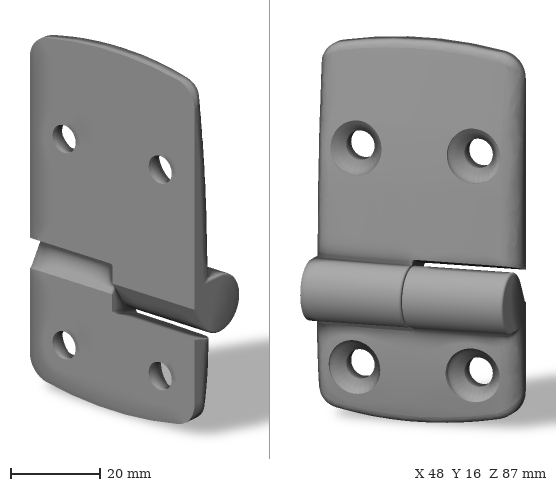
import cadquery as cq
import math


width = 48.0
half_width = width / 2
end_arc_radius = 100.0
corner_radius = 6.0

crown_radius = 200.1
side_round = 3.9
end_round = 2.0

axis_y = 9.0
knuckle_radius = 7.0
lip_z = 1.3
knuckle_edge_round = 0.5
knuckle_gap = 0.2
inner_x = knuckle_gap / 2
total_depth = axis_y + knuckle_radius

notch_edge_z = 6.0
notch_slope = 15.5
notch_corner_round = 0.6
root_round = 0.7

hole_diameter = 6.7
hole_spacing = 28.0
countersink_diameter = 12.5
countersink_start_y = 3.3
countersink_angle = 90.0

upper_end = 57.5
upper_hole_z = 32.5
upper_thickness = 8.0
upper_crest_z = 8.1
upper_back_radius = 334.95

lower_end = 29.5
lower_hole_z = 17.4
lower_thickness = 8.4
lower_crest_z = 7.8
lower_back_radius = 91.35

overrun = 4.35
slack = 0.1


def edges_within(low_corner, high_corner):
    """Selector for edges whose centre lies in a box."""
    return cq.selectors.BoxSelector(low_corner, high_corner)


def domed_strip(end, thickness, crest_z, back_radius):
    """Straight-sided strip, longer than the plate, with a domed back and rounded back edges.

    The back is level up to the crest, then falls away along an arc; revolving this
    profile about a far axis parallel to Z crowns it across the width.
    """
    strip_end = end + overrun
    arc_middle_z = (crest_z + strip_end) / 2

    def back_y(z):
        return thickness - back_radius + math.sqrt(back_radius**2 - (z - crest_z) ** 2)

    crown_axis_y = thickness - crown_radius
    half_crown_angle = math.degrees(math.asin((half_width + overrun) / crown_radius))
    dome = (
        cq.Workplane("YZ")
        .moveTo(-overrun, lip_z)
        .lineTo(thickness, lip_z)
        .lineTo(thickness, crest_z)
        .threePointArc((back_y(arc_middle_z), arc_middle_z), (back_y(strip_end), strip_end))
        .lineTo(-overrun, strip_end)
        .close()
        .revolve(2 * half_crown_angle, (crown_axis_y, 0), (crown_axis_y, 1))
        .rotate((0, crown_axis_y, 0), (0, crown_axis_y, 1), -half_crown_angle)
    )
    strip = dome.intersect(cq.Workplane("XY").box(width, 4 * total_depth, 4 * end))
    back_edges = edges_within((-width, 0, lip_z + slack), (width, total_depth, strip_end - slack))
    return strip.faces("<X or >X").edges(back_edges).fillet(side_round)


def outline_prism(end):
    """Outline of the plate, with a bowed end and rounded corners, through the full depth."""
    corner_z = end - end_arc_radius + math.sqrt(end_arc_radius**2 - half_width**2)
    end_corners = edges_within((-width, 0, lip_z + slack), (width, total_depth, end))
    return (
        cq.Workplane("XZ")
        .moveTo(-half_width, lip_z)
        .lineTo(half_width, lip_z)
        .lineTo(half_width, corner_z)
        .threePointArc((0, end), (-half_width, corner_z))
        .close()
        .extrude(-total_depth)
        .edges("|Y")
        .edges(end_corners)
        .fillet(corner_radius)
    )


def plate(end, thickness, crest_z, back_radius):
    """Plate with its back edge rounded along the end and around the corners."""
    body = domed_strip(end, thickness, crest_z, back_radius).intersect(outline_prism(end))
    end_back_edge = edges_within((-overrun, slack, end - end_round), (overrun, total_depth, end + slack))
    return body.edges(end_back_edge).fillet(end_round)


def knuckle():
    """Half-width barrel on a block, with a flat running tangentially from barrel to front lip."""
    lip_distance = math.hypot(axis_y, lip_z)
    tangent_angle = math.atan2(lip_z, -axis_y) + math.acos(knuckle_radius / lip_distance)
    tangent_y = axis_y + knuckle_radius * math.cos(tangent_angle)
    tangent_z = knuckle_radius * math.sin(tangent_angle)
    body = (
        cq.Workplane("YZ", origin=(inner_x, 0, 0))
        .moveTo(0, lip_z)
        .lineTo(tangent_y, tangent_z)
        .threePointArc((total_depth, 0), (axis_y, knuckle_radius))
        .lineTo(0, knuckle_radius)
        .close()
        .extrude(half_width - inner_x)
    )
    barrel_edges = edges_within((0, slack, -knuckle_radius), (width, total_depth, lip_z))
    return body.faces("<X or >X").edges(barrel_edges).fillet(knuckle_edge_round)


def notch():
    """Clearance beside the knuckle, with a sloping face toward the plate."""
    rise = total_depth * math.tan(math.radians(notch_slope))
    return (
        cq.Workplane("YZ", origin=(inner_x, 0, 0))
        .lineTo(total_depth, 0)
        .lineTo(total_depth, notch_edge_z + rise)
        .lineTo(0, notch_edge_z)
        .close()
        .extrude(-width)
    )


def screw_hole(x, z):
    """Through hole that widens into a countersink and a clearance bore at the back."""
    hole_radius = hole_diameter / 2
    head_radius = countersink_diameter / 2
    cone_depth = (head_radius - hole_radius) / math.tan(math.radians(countersink_angle / 2))
    return (
        cq.Workplane("XY", origin=(x, 0, z))
        .lineTo(hole_radius, 0)
        .lineTo(hole_radius, countersink_start_y)
        .lineTo(head_radius, countersink_start_y + cone_depth)
        .lineTo(head_radius, total_depth)
        .lineTo(0, total_depth)
        .close()
        .revolve(360, (0, 0), (0, 1))
    )


def leaf(end, hole_z, thickness, crest_z, back_radius):
    """Hinge leaf reaching upward from the axis, with its knuckle on the +X half."""
    body = plate(end, thickness, crest_z, back_radius).cut(notch()).union(knuckle())

    root_line = edges_within(
        (inner_x + slack, 0, knuckle_radius - knuckle_edge_round - slack),
        (half_width - slack, axis_y - slack, knuckle_radius + slack),
    )
    body = body.edges(root_line).edges("not |Y").fillet(root_round)

    notch_corner = edges_within(
        (inner_x - slack / 2, slack, notch_edge_z),
        (inner_x + slack / 2, thickness - root_round, crest_z),
    )
    body = body.edges(notch_corner).fillet(notch_corner_round)

    for x in (-hole_spacing / 2, hole_spacing / 2):
        body = body.cut(screw_hole(x, hole_z))
    return body


upper_leaf = leaf(upper_end, upper_hole_z, upper_thickness, upper_crest_z, upper_back_radius)

lower_leaf = leaf(lower_end, lower_hole_z, lower_thickness, lower_crest_z, lower_back_radius)
lower_leaf = lower_leaf.rotate((0, 0, 0), (0, 1, 0), 180)

result = cq.Compound.makeCompound([upper_leaf.solids().val(), lower_leaf.solids().val()])